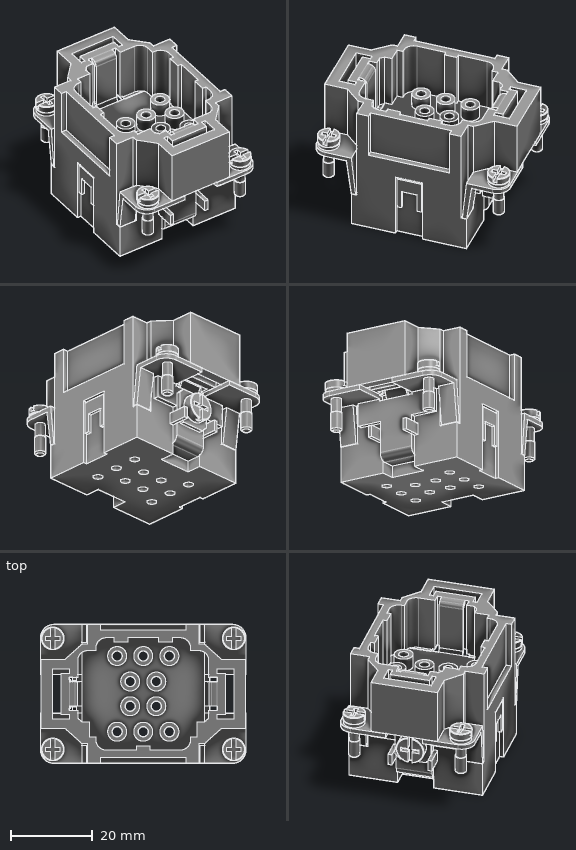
import cadquery as cq
import math

HEIGHT = 34.0
HALF_Y = 16.995
FLANGE_HALF_X = 25.1
FLANGE_TOP = 20.0
FLANGE_THICK = 1.2
FLANGE_BOTTOM = FLANGE_TOP - FLANGE_THICK
FLANGE_CORNER_R = 3.35
CORE_HALF_X = 14.95
TAB_TIP_X = 15.0
TAB_THICK = 1.15
TAB_INNER_Y = 12.55
TAB_BOTTOM = 9.15

END_HALF_X = 25.0
END_HALF_Y = 8.45
NECK_X = 19.1
POST_X = 13.55
POST_Y = 12.15
NOTCH_BOTTOM = 9.05
PANEL_LENGTH = 21.0
PANEL_DEPTH = 1.4
PANEL_BOTTOM = 22.05

CAVITY_X = 11.55
CAVITY_Y = 13.7
CAVITY_R = 2.45
STEP_UPPER_Y = 10.55
STEP_LOWER_Y = 10.5
STEP_MID_Y = 6.85
STEP_MID_X = 13.1
ALCOVE_X = 15.95
ALCOVE_R = 2.3
ALCOVE_LOWER_Y = 5.95
ALCOVE_DROP = 0.2
KEY_DEPTH = 1.0
PAIR_KEY_X = 5.395
PAIR_KEY_WIDTH = 3.4
SINGLE_KEY_WIDTH = 3.25

TUBE_R = 2.3
TUBE_BORE_R = 1.2
TUBE_TOP = 23.35
PITCH_X = 6.4
OUTER_ROW_Y = 9.25
INNER_ROW_Y = 3.0

SLOT_OUTER_X = 22.15
SLOT_INNER_X = 18.0
SLOT_HALF_Y = 6.05
PASSAGE_HALF_Y = 4.7
PASSAGE_BOTTOM = 18.3
BAR_OUTER_X = 20.15
BAR_HALF_Y = 5.0
WINDOW_HALF_Y = 4.0
STRAP_HALF_Y = 3.0
STRAP_INNER_X = 16.0
STRAP_THICK = 0.7
STRAP_ROLL_X = 16.65
STRAP_ROLL_Z = 33.6
STRAP_ROLL_BOTTOM = 32.6
STRAP_BEND_TOP = 20.6

LEDGE_X = 16.25
LEDGE_HALF_Y = 11.05
LEDGE_BOTTOM = 12.95
CHANNEL_HALF_Y = 4.55
CHANNEL_DEPTH = 4.0
STRIP_BOTTOM = 2.95
STRIP_ROUND = 1.95
PRONG_X = 20.05
PRONG_THICK = 1.0
PRONG_BOTTOM = 8.05
PRONG_TOP = 10.95

RECESS_HALF_X = 3.5
RECESS_TOP = 17.05
RECESS_DEPTH = 1.0
ARCH_HALF_X = 3.15
ARCH_TOP = 16.5
ARCH_BOTTOM = 8.05
ARCH_HEIGHT = 0.8
ARCH_GAP_HALF_X = 2.0
ARCH_GAP_TOP = 12.95

SCREW_X = 22.1
SCREW_Y = 13.55
HEAD_R = 2.75
COLLAR_R = 2.6
COLLAR_HEIGHT = 1.0
HEAD_TOP = 22.9
HEAD_BEVEL = 0.15
SHANK_R = 1.25
THREAD_R = 1.4
THREAD_TOP = 15.15
THREAD_BOTTOM = 10.5
THREAD_BEVEL = 0.4
DRIVE_WIDTH = 1.0
DRIVE_LENGTH = 3.6
DRIVE_DEPTH = 1.25

GROUND_Z = 13.0
PLATE_SIZE = 2 * CHANNEL_HALF_Y
PLATE_BEVEL = 1.3
PLATE_X = 17.3
GROUND_COLLAR_X = 17.7
GROUND_COLLAR_R = 3.15
GROUND_HEAD_X = 20.15
GROUND_HEAD_R = 3.5
GROUND_DRIVE_LENGTH = 4.6


def block(x0, x1, y0, y1, z0, z1):
    """Box between opposite corner coordinates."""
    return cq.Workplane("XY").box(x1 - x0, y1 - y0, z1 - z0, centered=False).translate((x0, y0, z0))


def both_ends(shape):
    """The shape at the +X end together with its mirror at the -X end."""
    return shape.union(shape.mirror("YZ"))


def both_sides(shape):
    """The shape at the -Y side together with its mirror at the +Y side."""
    return shape.union(shape.mirror("XZ"))


def end_profile(points, half_y):
    """Outline in X and Z, extruded evenly to both sides of the middle plane."""
    return cq.Workplane("XZ").polyline(points).close().extrude(half_y, both=True)


def outer_shell():
    quarter = [
        (POST_X, HALF_Y),
        (POST_X, POST_Y),
        (CORE_HALF_X, POST_Y),
        (NECK_X, END_HALF_Y),
        (END_HALF_X, END_HALF_Y),
    ]
    right_half = quarter + [(x, -y) for x, y in reversed(quarter)]
    left_half = [(-x, -y) for x, y in right_half]
    return (
        cq.Workplane("XY")
        .workplane(offset=FLANGE_TOP)
        .polyline(right_half + left_half)
        .close()
        .extrude(HEIGHT - FLANGE_TOP)
    )


def core():
    body = block(-CORE_HALF_X, CORE_HALF_X, -HALF_Y, HALF_Y, 0, FLANGE_TOP)
    notch = block(POST_X, CORE_HALF_X, -HALF_Y, -POST_Y, NOTCH_BOTTOM, FLANGE_TOP)
    return body.cut(both_sides(both_ends(notch)))


def flange():
    plate = block(-FLANGE_HALF_X, FLANGE_HALF_X, -HALF_Y, HALF_Y, FLANGE_BOTTOM, FLANGE_TOP)
    plate = plate.edges("|Z").fillet(FLANGE_CORNER_R)
    gap = block(-CORE_HALF_X, CORE_HALF_X, POST_Y, HALF_Y, FLANGE_BOTTOM, FLANGE_TOP)
    return plate.cut(both_sides(gap))


def flange_tabs():
    """Slanted tabs from the flange down to the corner notches."""
    outline = [
        (LEDGE_X, FLANGE_TOP),
        (LEDGE_X, FLANGE_BOTTOM),
        (TAB_TIP_X, TAB_BOTTOM),
        (TAB_TIP_X - TAB_THICK, TAB_BOTTOM),
        (CORE_HALF_X, FLANGE_TOP),
    ]
    tabs = end_profile(outline, HALF_Y)
    middle = block(0, FLANGE_HALF_X, -TAB_INNER_Y, TAB_INNER_Y, 0, HEIGHT)
    return both_ends(tabs.cut(middle))


def side_panels():
    half = PANEL_LENGTH / 2
    return both_sides(block(-half, half, -HALF_Y, PANEL_DEPTH - HALF_Y, PANEL_BOTTOM, HEIGHT))


def cavity():
    depth = HEIGHT - FLANGE_TOP
    main = block(-CAVITY_X, CAVITY_X, -CAVITY_Y, CAVITY_Y, FLANGE_TOP, HEIGHT)
    main = main.edges("|Z").fillet(CAVITY_R)
    lower = block(-STEP_MID_X, STEP_MID_X, -STEP_LOWER_Y, 0, FLANGE_TOP, HEIGHT)
    middle = block(-CORE_HALF_X, CORE_HALF_X, -STEP_MID_Y, STEP_MID_Y, FLANGE_TOP, HEIGHT)

    arc_offset = ALCOVE_R * math.sqrt(0.5)
    arc_x = ALCOVE_X - ALCOVE_R
    arc_y = STEP_UPPER_Y - ALCOVE_R
    alcove = (
        cq.Workplane("XY")
        .workplane(offset=FLANGE_TOP)
        .moveTo(0, -STEP_MID_Y)
        .lineTo(CORE_HALF_X, -STEP_MID_Y)
        .lineTo(ALCOVE_X, -ALCOVE_LOWER_Y)
        .lineTo(ALCOVE_X, arc_y)
        .threePointArc((arc_x + arc_offset, arc_y + arc_offset), (arc_x, STEP_UPPER_Y))
        .lineTo(0, STEP_UPPER_Y)
        .close()
        .extrude(depth)
    )
    drop = alcove.translate((0, 0, -ALCOVE_DROP))
    drop = drop.cut(block(0, CORE_HALF_X, -HALF_Y, HALF_Y, 0, HEIGHT))
    return main.union(lower).union(middle).union(both_ends(alcove.union(drop)))


def cavity_keys():
    inner_y = CAVITY_Y - KEY_DEPTH
    wall_y = HALF_Y - PANEL_DEPTH
    half = PAIR_KEY_WIDTH / 2
    pair = both_ends(block(PAIR_KEY_X - half, PAIR_KEY_X + half, inner_y, wall_y, FLANGE_TOP, HEIGHT))
    half = SINGLE_KEY_WIDTH / 2
    return pair.union(block(-half, half, -wall_y, -inner_y, FLANGE_TOP, HEIGHT))


def contact_points():
    outer = [(i * PITCH_X, s * OUTER_ROW_Y) for s in (-1, 1) for i in (-1, 0, 1)]
    inner = [(s * PITCH_X / 2, t * INNER_ROW_Y) for s in (-1, 1) for t in (-1, 1)]
    return outer + inner


def contact_cylinders(radius, z0, z1):
    base = cq.Workplane("XY").workplane(offset=z0)
    return base.pushPoints(contact_points()).circle(radius).extrude(z1 - z0)


def latch_openings():
    slot = block(SLOT_INNER_X, SLOT_OUTER_X, -SLOT_HALF_Y, SLOT_HALF_Y, FLANGE_TOP, HEIGHT)
    passage = block(
        CORE_HALF_X, FLANGE_HALF_X, -PASSAGE_HALF_Y, PASSAGE_HALF_Y, PASSAGE_BOTTOM, FLANGE_TOP
    )
    window = block(CORE_HALF_X, SLOT_INNER_X, -WINDOW_HALF_Y, WINDOW_HALF_Y, FLANGE_TOP, HEIGHT)
    return both_ends(slot.union(passage).union(window))


def latch_bars():
    return both_ends(block(SLOT_INNER_X, BAR_OUTER_X, -BAR_HALF_Y, BAR_HALF_Y, FLANGE_TOP, HEIGHT))


def latch_straps():
    """Sheet straps rolled over into the bar at the top and bent inwards at the foot."""
    outer_x = STRAP_INNER_X + STRAP_THICK
    strap = (
        cq.Workplane("XZ")
        .moveTo(BAR_OUTER_X, HEIGHT)
        .lineTo(SLOT_INNER_X, HEIGHT)
        .tangentArcPoint((STRAP_ROLL_X, STRAP_ROLL_Z), relative=False)
        .tangentArcPoint((STRAP_INNER_X, STRAP_ROLL_BOTTOM), relative=False)
        .lineTo(STRAP_INNER_X, STRAP_BEND_TOP)
        .lineTo(CORE_HALF_X, PASSAGE_BOTTOM)
        .lineTo(CORE_HALF_X + STRAP_THICK, PASSAGE_BOTTOM)
        .lineTo(outer_x, STRAP_BEND_TOP)
        .lineTo(outer_x, STRAP_ROLL_BOTTOM)
        .lineTo(SLOT_INNER_X, HEIGHT - STRAP_THICK)
        .lineTo(BAR_OUTER_X, HEIGHT - STRAP_THICK)
        .close()
        .extrude(STRAP_HALF_Y, both=True)
    )
    return both_ends(strap)


def end_ledges():
    return both_ends(
        block(CORE_HALF_X, LEDGE_X, -LEDGE_HALF_Y, LEDGE_HALF_Y, LEDGE_BOTTOM, FLANGE_BOTTOM)
    )


def end_channels():
    inner_x = CORE_HALF_X - CHANNEL_DEPTH
    return both_ends(
        block(inner_x, CORE_HALF_X, -CHANNEL_HALF_Y, CHANNEL_HALF_Y, 0, LEDGE_BOTTOM)
    )


def end_strips():
    """Contact strips filling the channels, rounded where they turn in at the bottom."""
    inner_x = CORE_HALF_X - CHANNEL_DEPTH
    strip = block(inner_x, LEDGE_X, -CHANNEL_HALF_Y, CHANNEL_HALF_Y, STRIP_BOTTOM, LEDGE_BOTTOM)
    return both_ends(strip.edges(">X and <Z").fillet(STRIP_ROUND))


def end_prongs():
    outer_y = CHANNEL_HALF_Y + PRONG_THICK
    prong = block(CORE_HALF_X, PRONG_X, -outer_y, -CHANNEL_HALF_Y, PRONG_BOTTOM, PRONG_TOP)
    return both_ends(both_sides(prong))


def clip_recesses():
    floor_y = RECESS_DEPTH - HALF_Y
    front_y = floor_y - ARCH_HEIGHT
    recess = block(-RECESS_HALF_X, RECESS_HALF_X, -HALF_Y, floor_y, 0, RECESS_TOP)
    arch = block(-ARCH_HALF_X, ARCH_HALF_X, front_y, floor_y, ARCH_BOTTOM, ARCH_TOP)
    gap = block(-ARCH_GAP_HALF_X, ARCH_GAP_HALF_X, front_y, floor_y, ARCH_BOTTOM, ARCH_GAP_TOP)
    return both_sides(recess.cut(arch.cut(gap)))


def cross_drive(diameter, short_length):
    """Cross recess below the XY plane: a full-width slot along Y and a short one along X."""
    across = cq.Workplane("XY").rect(DRIVE_WIDTH, diameter).extrude(-DRIVE_DEPTH)
    return across.union(cq.Workplane("XY").rect(short_length, DRIVE_WIDTH).extrude(-DRIVE_DEPTH))


def rod(radius, z0, z1):
    return cq.Workplane("XY").workplane(offset=z0).circle(radius).extrude(z1 - z0)


def flange_screw():
    head_bottom = FLANGE_TOP + COLLAR_HEIGHT
    head = rod(HEAD_R, head_bottom, HEAD_TOP).edges(">Z").chamfer(HEAD_BEVEL)
    head = head.cut(cross_drive(2 * HEAD_R, DRIVE_LENGTH).translate((0, 0, HEAD_TOP)))
    thread = rod(THREAD_R, THREAD_BOTTOM, THREAD_TOP).edges("<Z").chamfer(THREAD_BEVEL)
    collar = rod(COLLAR_R, FLANGE_TOP, head_bottom)
    shank = rod(SHANK_R, THREAD_TOP, FLANGE_TOP)
    return head.union(collar).union(shank).union(thread)


def make_housing():
    body = outer_shell().union(core()).union(flange()).union(end_ledges())
    body = body.cut(side_panels()).cut(cavity()).union(cavity_keys())
    body = body.cut(latch_openings()).union(latch_bars()).union(latch_straps())
    body = body.cut(end_channels()).union(end_strips()).union(end_prongs())
    body = body.union(flange_tabs()).cut(clip_recesses())
    body = body.union(contact_cylinders(TUBE_R, FLANGE_TOP, TUBE_TOP))
    body = body.cut(contact_cylinders(TUBE_BORE_R, 0, TUBE_TOP))
    for x in (-SCREW_X, SCREW_X):
        for y in (-SCREW_Y, SCREW_Y):
            body = body.union(flange_screw().translate((x, y, 0)))
    return body


def make_ground_screw():
    """Screw with square clamping plate, lying against the -X end ledge."""
    plate_end = PLATE_X - LEDGE_X
    collar_end = GROUND_COLLAR_X - LEDGE_X
    head_end = GROUND_HEAD_X - LEDGE_X
    plate = cq.Workplane("XY").rect(PLATE_SIZE, PLATE_SIZE).extrude(plate_end)
    plate = plate.edges("|Z").chamfer(PLATE_BEVEL)
    head = rod(GROUND_HEAD_R, collar_end, head_end).edges(">Z").chamfer(HEAD_BEVEL)
    drive = cross_drive(2 * GROUND_HEAD_R, GROUND_DRIVE_LENGTH)
    drive = drive.rotate((0, 0, 0), (0, 0, 1), 90).translate((0, 0, head_end))
    screw = plate.union(rod(GROUND_COLLAR_R, plate_end, collar_end)).union(head.cut(drive))
    return screw.rotate((0, 0, 0), (0, 1, 0), -90).translate((-LEDGE_X, 0, GROUND_Z))


housing = make_housing()
ground_screw = make_ground_screw()
result = cq.Compound.makeCompound([housing.solids().val(), ground_screw.solids().val()])